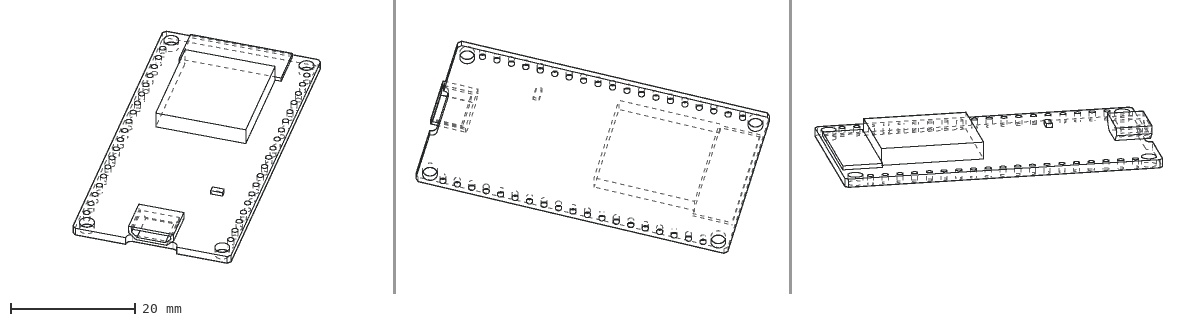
import cadquery as cq

board_width = 26.5
board_length = 52.05
board_thickness = 1.4
board_corner_chamfer = 0.5
front_edge = -board_length / 2
back_edge = board_length / 2

notch_width = 8.55
notch_depth = 1.0
notch_corner_radius = 0.9

mount_hole_diameter = 2.4
mount_hole_spacing_x = 22.7
mount_hole_spacing_y = 48.1

pin_hole_diameter = 1.0
pin_row_spacing = 24.15
pin_row_length = 43.4
pins_per_row = 19
pin_pitch = pin_row_length / (pins_per_row - 1)

antenna_width = 17.1
antenna_length = 6.5
antenna_height = 0.7
antenna_edge_gap = 0.45
shield_width = 15.1
shield_length = 16.75
total_height = 4.25
shield_height = total_height - board_thickness
antenna_back = back_edge - antenna_edge_gap
antenna_front = antenna_back - antenna_length

chip_width = 2.0
chip_length = 1.0
chip_height = antenna_height
chip_x = 6.7
chip_y = -11.05

connector_width = 7.55
connector_length = 5.85
connector_height = 2.5
connector_bevel = 1.2
connector_wall = 0.495
socket_depth = 5.0


def make_board():
    board = cq.Workplane("XY").rect(board_width, board_length).extrude(board_thickness)
    board = board.edges("|Z").chamfer(board_corner_chamfer)
    notch = (
        cq.Workplane("XY")
        .center(0, front_edge)
        .rect(notch_width, 2 * notch_depth)
        .extrude(board_thickness)
        .edges("|Z and >Y")
        .fillet(notch_corner_radius)
    )
    mount_holes = (
        cq.Workplane("XY")
        .rarray(mount_hole_spacing_x, mount_hole_spacing_y, 2, 2)
        .circle(mount_hole_diameter / 2)
        .extrude(board_thickness)
    )
    pin_holes = (
        cq.Workplane("XY")
        .rarray(pin_row_spacing, pin_pitch, 2, pins_per_row)
        .circle(pin_hole_diameter / 2)
        .extrude(board_thickness)
    )
    return board.cut(notch).cut(mount_holes).cut(pin_holes)


def block_on_board(width, length, height, x, y):
    """Rectangular block standing on the board, centred at (x, y)."""
    return (
        cq.Workplane("XY", origin=(x, y, board_thickness))
        .rect(width, length)
        .extrude(height)
    )


def connector_outline():
    """Connector cross-section on the front face, with its base on the board."""
    half_width = connector_width / 2
    half_base = half_width - connector_bevel
    return (
        cq.Workplane("XZ", origin=(0, front_edge, board_thickness))
        .moveTo(-half_base, 0)
        .lineTo(half_base, 0)
        .lineTo(half_width, connector_bevel)
        .lineTo(half_width, connector_height)
        .lineTo(-half_width, connector_height)
        .lineTo(-half_width, connector_bevel)
        .close()
    )


def make_connector():
    shell = connector_outline().extrude(-connector_length)
    socket = connector_outline().offset2D(-connector_wall).extrude(-socket_depth)
    return shell.cut(socket)


antenna = block_on_board(
    antenna_width, antenna_length, antenna_height, 0, antenna_back - antenna_length / 2
)
shield = block_on_board(
    shield_width, shield_length, shield_height, 0, antenna_front - shield_length / 2
)
chip = block_on_board(chip_width, chip_length, chip_height, chip_x, chip_y)

result = make_board().union(antenna).union(shield).union(chip).union(make_connector())